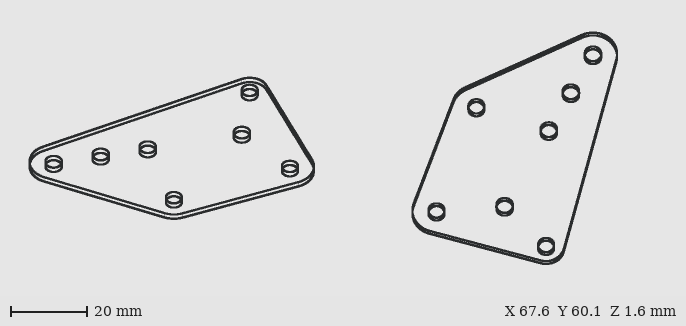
import cadquery as cq
import math

thickness = 1.6
row_hole_diameter = 4.4
corner_hole_diameter = 4.25
corner_radius = 6.35
top_corner_radius = 4.8

right_lower = (34.2, 3.85)
right_upper = (54.9, 29.2)
top = (31.5, 49.0)
row_step = (9.4, 8.5)
row_positions = (0, 1, 2, 4)

corners = [
    ((0, 0), corner_radius),
    (right_lower, corner_radius),
    (right_upper, corner_radius),
    (top, top_corner_radius),
]


def outward_angle(start, end):
    """Direction of the outward normal of the edge tangent to two corners."""
    (x0, y0), start_radius = start
    (x1, y1), end_radius = end
    distance = math.hypot(x1 - x0, y1 - y0)
    heading = math.atan2(y1 - y0, x1 - x0)
    return heading - math.acos((start_radius - end_radius) / distance)


def point_on_corner(corner, angle):
    (x, y), radius = corner
    return (x + radius * math.cos(angle), y + radius * math.sin(angle))


def make_plate():
    """Plate bounded by the corner arcs and their outer tangent lines."""
    count = len(corners)
    angles = [outward_angle(corners[i], corners[(i + 1) % count]) for i in range(count)]
    outline = cq.Workplane("XY").moveTo(*point_on_corner(corners[0], angles[0]))
    for i in range(count):
        corner = corners[(i + 1) % count]
        arc_start = angles[i]
        arc_sweep = (angles[(i + 1) % count] - arc_start) % (2 * math.pi)
        outline = outline.lineTo(*point_on_corner(corner, arc_start))
        outline = outline.threePointArc(
            point_on_corner(corner, arc_start + arc_sweep / 2),
            point_on_corner(corner, arc_start + arc_sweep),
        )
    return outline.close().extrude(thickness)


def make_holes(centres, diameter):
    return cq.Workplane("XY").pushPoints(centres).circle(diameter / 2).extrude(thickness)


row_centres = [(step * row_step[0], step * row_step[1]) for step in row_positions]
corner_centres = [right_lower, right_upper, top]

result = make_plate()
result = result.cut(make_holes(row_centres, row_hole_diameter))
result = result.cut(make_holes(corner_centres, corner_hole_diameter))